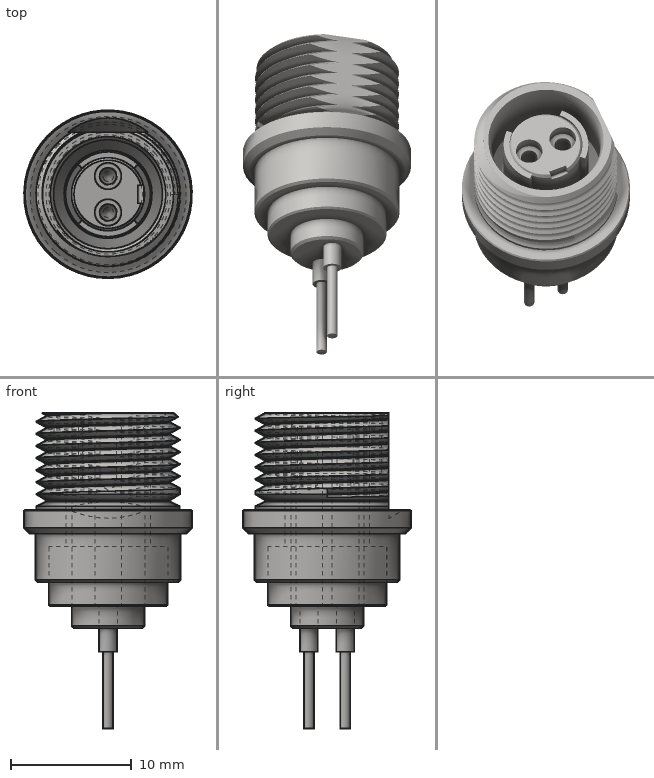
import cadquery as cq
import math


rim_z = 8.0
flange_bottom_z = -2.0
shell_bottom_z = -6.0

flange_radius = 6.95
flange_top_chamfer = 0.1
flange_bottom_chamfer = 0.5
body_radius = 6.0
body_chamfer = 0.2

thread_radius = 5.95
root_radius = 5.15
thread_pitch = 1.0
root_flat = 0.1
crest_flat = 0.02
thread_start_z = 1.27
rim_radius = 5.42
rim_chamfer_height = 0.46
collar_height = 0.28
relief_root_z = 0.66
relief_root_flat = 0.14
relief_top_z = 1.28
revolve_start_angle = 80.0

flat_y = 5.12
pocket_radius = 5.18
pocket_center_y = 1.13
pocket_cone_angle = 60.0
pocket_depth = (pocket_center_y + pocket_radius - flat_y) / math.tan(math.radians(pocket_cone_angle))

mouth_radius = 4.77
mouth_depth = 1.08
bore_radius = 4.5
funnel_top_z = 3.0
shelf_radius = 3.64
funnel_cone_angle = 60.0
shelf_z = funnel_top_z - (bore_radius - shelf_radius) / math.tan(math.radians(funnel_cone_angle))

retainer_radius = 4.92
retainer_top_z = -3.0
retainer_bottom_z = -8.0
retainer_chamfer = 0.15

insulator_radius = 3.02
insulator_top_z = 7.15
insulator_bottom_z = -9.8
insulator_chamfer = 0.2
notch_inner_x = 2.44
notch_outer_x = 2.97
notch_width = 1.5
notch_inner_depth = 0.9
notch_outer_depth = 0.4

ring_radius = 3.5
ring_top_z = 7.22

contact_y = 1.5
socket_radius = 1.1
socket_top_z = insulator_top_z - 1.1
socket_bottom_z = retainer_bottom_z
socket_bore_radius = 0.69
socket_bore_depth = 4.0
drill_tip_angle = 118.0
sleeve_radius = 0.75
sleeve_bottom_z = -11.75
pin_radius = 0.425
pin_bottom_z = -18.1


def cylinder(radius, bottom_z, top_z):
    return cq.Workplane("XY").workplane(offset=bottom_z).circle(radius).extrude(top_z - bottom_z)


def shell_blank():
    """Revolved shell, before the thread and the flat are cut."""
    mouth_end_z = rim_z - mouth_depth
    mouth_inset = mouth_radius - bore_radius
    mouth_arc_radius = (mouth_depth**2 + mouth_inset**2) / (2 * mouth_inset)
    half_angle = math.asin(mouth_depth / mouth_arc_radius) / 2
    mouth_middle = (
        bore_radius + mouth_arc_radius * (1 - math.cos(half_angle)),
        mouth_end_z + mouth_arc_radius * math.sin(half_angle),
    )
    return (
        cq.Workplane("XZ")
        .moveTo(mouth_radius, rim_z)
        .lineTo(rim_radius, rim_z)
        .lineTo(thread_radius, rim_z - rim_chamfer_height)
        .lineTo(thread_radius, relief_top_z)
        .lineTo(root_radius, relief_root_z + relief_root_flat)
        .lineTo(root_radius, relief_root_z)
        .lineTo(thread_radius, collar_height)
        .lineTo(thread_radius, 0)
        .lineTo(flange_radius - flange_top_chamfer, 0)
        .lineTo(flange_radius, -flange_top_chamfer)
        .lineTo(flange_radius, flange_bottom_z + flange_bottom_chamfer)
        .lineTo(flange_radius - flange_bottom_chamfer, flange_bottom_z)
        .lineTo(body_radius, flange_bottom_z)
        .lineTo(body_radius, shell_bottom_z + body_chamfer)
        .lineTo(body_radius - body_chamfer, shell_bottom_z)
        .lineTo(retainer_radius, shell_bottom_z)
        .lineTo(retainer_radius, retainer_top_z)
        .lineTo(ring_radius, retainer_top_z)
        .lineTo(ring_radius, shelf_z)
        .lineTo(shelf_radius, shelf_z)
        .lineTo(bore_radius, funnel_top_z)
        .lineTo(bore_radius, mouth_end_z)
        .threePointArc(mouth_middle, (mouth_radius, rim_z))
        .close()
        .revolve(360, (0, 0, 0), (0, 1, 0))
    )


def thread_groove():
    """Helical V groove that starts on the +X side and runs out through the rim."""
    overshoot = 0.2
    turns = math.ceil((rim_z - thread_start_z) / thread_pitch) + 1
    root_half = root_flat / 2
    crest_half = (thread_pitch - crest_flat) / 2
    flank_slope = (crest_half - root_half) / (thread_radius - root_radius)
    outer_half = crest_half + overshoot * flank_slope
    outer_radius = thread_radius + overshoot
    helix = cq.Wire.makeHelix(thread_pitch, turns * thread_pitch, root_radius)
    groove = (
        cq.Workplane("XZ")
        .polyline(
            [
                (root_radius, -root_half),
                (outer_radius, -outer_half),
                (outer_radius, outer_half),
                (root_radius, root_half),
            ]
        )
        .close()
        .sweep(cq.Workplane(helix), isFrenet=True)
    )
    return groove.translate((0, 0, thread_start_z))


def thread_flat():
    """Everything beyond the flat: the thread side and the conical pocket in the flange."""
    width = 2 * flange_radius
    beyond_flat = (
        cq.Workplane("XY")
        .box(width, width, rim_z + pocket_depth, centered=(True, False, False))
        .translate((0, flat_y, -pocket_depth))
    )
    pocket = (
        cq.Workplane("XY", origin=(0, pocket_center_y, 0))
        .circle(pocket_radius)
        .extrude(-pocket_depth, taper=pocket_cone_angle)
    )
    above_flange = cylinder(flange_radius, 0, rim_z)
    return beyond_flat.intersect(above_flange.union(pocket))


def make_shell():
    blank = shell_blank().rotate((0, 0, 0), (0, 0, 1), revolve_start_angle)
    return blank.cut(thread_groove()).cut(thread_flat())


def make_retainer():
    retainer = cylinder(retainer_radius, retainer_bottom_z, retainer_top_z)
    retainer = retainer.faces("<Z").chamfer(retainer_chamfer)
    return retainer.cut(cylinder(insulator_radius, retainer_bottom_z, retainer_top_z))


def make_key_ring():
    """Ring around the insulator with raised quarters on the +Y and -Y sides."""
    ring = cylinder(ring_radius, retainer_top_z, ring_top_z)
    ring = ring.cut(cylinder(insulator_radius, retainer_top_z, ring_top_z))
    reach = 2 * ring_radius
    for side in (-1, 1):
        low_quarter = (
            cq.Workplane("XY", origin=(0, 0, shelf_z))
            .polyline([(0, 0), (side * reach, -reach), (side * reach, reach)])
            .close()
            .extrude(ring_top_z - shelf_z)
        )
        ring = ring.cut(low_quarter)
    return ring


def make_contact(y):
    contact = cylinder(socket_radius, socket_bottom_z, socket_top_z)
    contact = contact.union(cylinder(sleeve_radius, sleeve_bottom_z, socket_bottom_z))
    contact = contact.union(cylinder(pin_radius, pin_bottom_z, sleeve_bottom_z))
    tip_depth = socket_bore_radius / math.tan(math.radians(drill_tip_angle / 2))
    bore_bottom_z = socket_top_z - socket_bore_depth
    bore = (
        cq.Workplane("XZ")
        .moveTo(0, socket_top_z)
        .lineTo(socket_bore_radius, socket_top_z)
        .lineTo(socket_bore_radius, bore_bottom_z)
        .lineTo(0, bore_bottom_z - tip_depth)
        .close()
        .revolve(360, (0, 0, 0), (0, 1, 0))
    )
    return contact.cut(bore).translate((0, y, 0))


def insulator_notch():
    """Notch in the +X edge, with a floor that rises steeply outward."""
    return (
        cq.Workplane("XZ")
        .moveTo(notch_inner_x, insulator_top_z)
        .lineTo(notch_inner_x, insulator_top_z - notch_inner_depth)
        .lineTo(notch_outer_x, insulator_top_z - notch_outer_depth)
        .lineTo(insulator_radius, insulator_top_z - notch_outer_depth)
        .lineTo(insulator_radius, insulator_top_z)
        .close()
        .extrude(notch_width / 2, both=True)
    )


def make_insulator():
    insulator = cylinder(insulator_radius, insulator_bottom_z, insulator_top_z)
    insulator = insulator.faces("<Z or >Z").chamfer(insulator_chamfer)
    insulator = insulator.cut(insulator_notch())
    for y in (-contact_y, contact_y):
        socket_hole = cylinder(socket_radius, socket_bottom_z, insulator_top_z)
        sleeve_hole = cylinder(sleeve_radius, insulator_bottom_z, socket_bottom_z)
        insulator = insulator.cut(socket_hole.union(sleeve_hole).translate((0, y, 0)))
    return insulator


shell = make_shell()
retainer = make_retainer()
key_ring = make_key_ring()
insulator = make_insulator()
contacts = [make_contact(y) for y in (-contact_y, contact_y)]

result = cq.Compound.makeCompound(
    [
        shell.val(),
        retainer.val(),
        key_ring.val(),
        insulator.val(),
        *[contact.val() for contact in contacts],
    ]
)